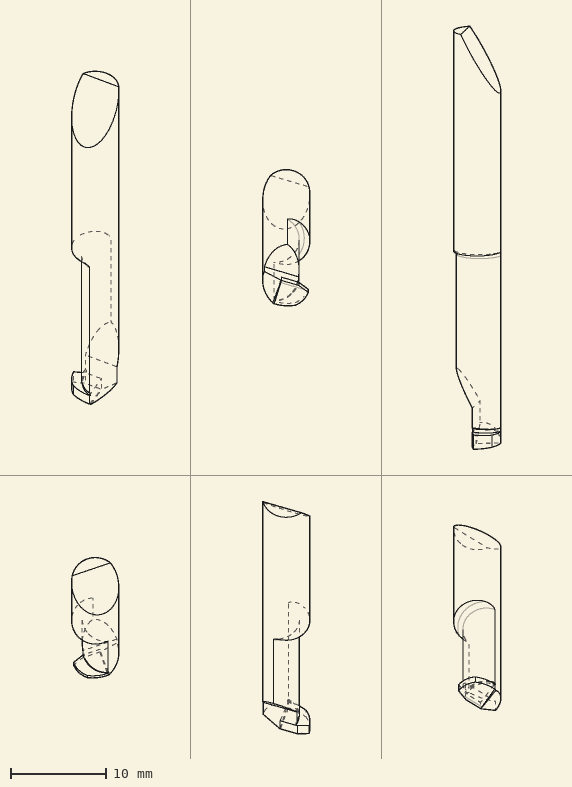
import cadquery as cq
import math

length = 44.5
radius = 2.5
cutter_size = 4 * radius

end_slant = 30.0
end_flat_y = 1.3

neck_offset = 1.18
neck_top = 20.83
shoulder_fillet = 0.55

back_y = 0.245
back_start = 8.2
back_end = 4.2

nose_chamfer = 1.85
relief_angle = 3.5
split_x = neck_offset / 2
insert_height = 1.55
groove_height = 0.5
groove_depth = 0.15

edge_y = -0.2
flank_y = -1.95
front_bulge = 0.15
rake_root_x = radius - neck_offset


def circle_x(y):
    """Half width of the bar at distance y from its axis."""
    return math.sqrt(radius**2 - y**2)


def rising(body):
    """Tilt a body about X by the relief angle, rising toward -Y."""
    return body.rotate((0, 0, 0), (1, 0, 0), -relief_angle)


def falling(body):
    """Tilt a body about X by the relief angle, falling toward -Y."""
    return body.rotate((0, 0, 0), (1, 0, 0), relief_angle)


def end_slant_cutter():
    drop = (end_flat_y + radius) / math.tan(math.radians(end_slant))
    overrun = 0.9
    rise = overrun / math.tan(math.radians(end_slant))
    points = [
        (end_flat_y + overrun, length + rise),
        (-radius - overrun, length - drop - rise),
        (-radius - overrun, length + rise),
    ]
    return cq.Workplane("YZ").polyline(points).close().extrude(radius + 0.45, both=True)


def neck_cutter():
    """Ring around the offset neck, with a filleted top inner corner."""
    arc_mid = shoulder_fillet * (1 - math.sqrt(0.5))
    profile = (
        cq.Workplane("XZ")
        .moveTo(radius, -radius)
        .lineTo(radius, neck_top - shoulder_fillet)
        .threePointArc(
            (radius + arc_mid, neck_top - arc_mid),
            (radius + shoulder_fillet, neck_top),
        )
        .lineTo(cutter_size, neck_top)
        .lineTo(cutter_size, -radius)
        .close()
    )
    return profile.revolve(360, (0, 0, 0), (0, 1, 0)).translate((neck_offset, 0, 0))


def back_cutter():
    points = [
        (back_y, -radius),
        (back_y, back_end),
        (radius, back_start),
        (cutter_size, back_start),
        (cutter_size, -radius),
    ]
    return cq.Workplane("YZ").polyline(points).close().extrude(cutter_size, both=True)


def nose_cutter():
    outer = radius + nose_chamfer
    points = [
        (radius - 2 * nose_chamfer, -nose_chamfer),
        (outer, 2 * nose_chamfer),
        (outer, -nose_chamfer),
    ]
    return cq.Workplane("XZ").polyline(points).close().extrude(cutter_size, both=True)


def end_relief_cutter():
    block = cq.Workplane("XY").box(
        cutter_size, cutter_size, cutter_size, centered=(True, True, False)
    )
    return rising(block.translate((0, 0, -cutter_size)))


def groove_cutter():
    """Shallow relief around the neck directly above the insert, with a sloping top."""
    inner = radius - groove_depth
    points = [
        (inner, insert_height),
        (inner, insert_height + groove_height - groove_depth),
        (radius, insert_height + groove_height),
        (cutter_size, insert_height + groove_height),
        (cutter_size, insert_height),
    ]
    ring = cq.Workplane("XZ").polyline(points).close().revolve(360, (0, 0, 0), (0, 1, 0))
    return falling(ring.translate((neck_offset, 0, 0)))


def insert_seat():
    """Everything on the insert side of the split, up to the insert's tilted top."""
    block = cq.Workplane("XY").box(
        cutter_size, cutter_size, cutter_size, centered=(False, True, False)
    )
    below_top = falling(block.translate((-cutter_size / 2, 0, insert_height - cutter_size)))
    beside_split = block.translate((split_x - cutter_size, 0, -cutter_size / 2))
    return below_top.intersect(beside_split)


def make_shank():
    bar = cq.Workplane("XY").circle(radius).extrude(length)
    bar = bar.cut(end_slant_cutter()).cut(neck_cutter()).cut(back_cutter())
    bar = bar.cut(groove_cutter()).cut(nose_cutter()).cut(end_relief_cutter())
    return bar.cut(insert_seat())


def make_insert():
    flank_mid_y = (edge_y + flank_y) / 2
    blank = (
        cq.Workplane("XY")
        .moveTo(-circle_x(edge_y), edge_y)
        .threePointArc((-circle_x(flank_mid_y), flank_mid_y), (-circle_x(flank_y), flank_y))
        .sagittaArc((split_x, -circle_x(split_x)), -front_bulge)
        .lineTo(split_x, back_y)
        .lineTo(-rake_root_x, back_y)
        .close()
        .extrude(2 * insert_height)
    )
    return blank.intersect(insert_seat()).cut(end_relief_cutter())


shank = make_shank()
insert = make_insert()
result = cq.Compound.makeCompound([shank.val(), insert.val()])